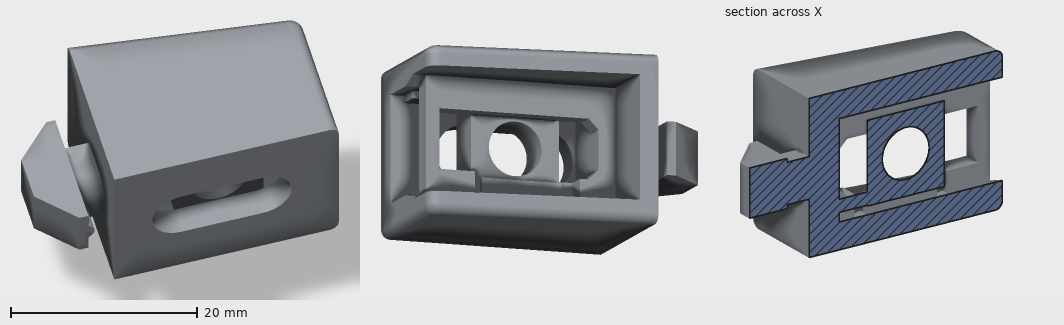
import cadquery as cq

width = 18.5
height = 18.5
overall_length = 32.7
body_length = 25.0
side_taper = 3.1
corner_radius = 1.5
edge_radius = 1.0

tray_height = 13.75
tray_front = 2.0
tray_back = 23.5
plate_face = 8.25
plate_back = 10.6

channel_height = 11.95
channel_front = 3.92
ledge_x = 12.7
ledge_height = 0.8
channel_floor = 15.5

window_height = 6.65
window_back = 22.0
window_chamfer = 1.1
recess_front = 6.02
recess_back = 18.0

slot_diameter = 6.5
slot_front_center = 7.5
slot_back_center = 16.5

slider_size = 10.0
slider_center = slot_front_center + slider_size / 2
slider_face = 10.75
slider_hole_diameter = 6.0
pad_face = 10.0
pad_length = 9.03
pad_top = -3.55
rail_bottom = -4.9
rail_face = 10.7

latch_x = 11.48
shank_width = 6.02
shank_height = 5.0
shank_radius = 2.5
shank_length = 2.75
shank_root = 0.98
head_width = 13.08
head_height = 5.9
head_straight = 1.0
head_tip_width = 5.0
detent_height = 0.7
detent_radius = 0.997


def box(x_range, y_range, z_range):
    """Axis-aligned block between the given limits."""
    size = [high - low for low, high in (x_range, y_range, z_range)]
    low_corner = (x_range[0], y_range[0], z_range[0])
    return cq.Workplane("XY").box(*size, centered=False).translate(low_corner)


def about_middle(size):
    return (-size / 2, size / 2)


def side_prism(points, x_range):
    """Outline of (y, z) points extruded along X."""
    start, end = x_range
    return cq.Workplane("YZ", origin=(start, 0, 0)).polyline(points).close().extrude(end - start)


def make_shell():
    outline = [(0, 0), (width, 0), (width, body_length), (side_taper, body_length)]
    shell = cq.Workplane("XY").polyline(outline).close().extrude(height).translate((0, 0, -height / 2))
    corner = cq.selectors.NearestToPointSelector((side_taper, body_length, 0))
    shell = shell.edges(corner).fillet(corner_radius)
    for z in about_middle(height):
        long_edge = cq.selectors.NearestToPointSelector((side_taper / 2, body_length / 2, z))
        shell = shell.edges(long_edge).fillet(edge_radius)
    return shell


def cut_tray(shell):
    tray = box((0, plate_face), (tray_front, body_length), about_middle(tray_height))
    half_tray = tray_height / 2
    half_channel = channel_height / 2
    exit_outline = [
        (plate_face, -half_tray),
        (plate_back, -half_channel),
        (plate_back, half_channel),
        (plate_face, half_tray),
    ]
    exit_length = body_length - tray_back
    back_exit = (
        cq.Workplane("XZ", origin=(0, body_length, 0)).polyline(exit_outline).close().extrude(exit_length)
    )
    return shell.cut(tray).cut(back_exit)


def cut_channel(shell):
    upper = box((plate_back, ledge_x), (channel_front, body_length), about_middle(channel_height))
    lower_height = channel_height - 2 * ledge_height
    lower = box((ledge_x, channel_floor), (channel_front, tray_back), about_middle(lower_height))
    back_end = box((ledge_x, channel_floor), (tray_back, body_length), about_middle(channel_height))
    return shell.cut(upper).cut(lower).cut(back_end)


def cut_window(shell):
    half = window_height / 2
    outline = [
        (window_back, -half),
        (window_back, half),
        (channel_front + window_chamfer, half),
        (channel_front, half - window_chamfer),
        (channel_front, window_chamfer - half),
        (channel_front + window_chamfer, -half),
    ]
    window = side_prism(outline, (plate_face, plate_back))
    recess = box((plate_face, plate_back), (recess_front, recess_back), (-channel_height / 2, 0))
    return shell.cut(window).cut(recess)


def cut_slot(shell):
    slot_travel = slot_back_center - slot_front_center
    slot_center = (slot_front_center + slot_back_center) / 2
    slot = (
        cq.Workplane("YZ", origin=(channel_floor, slot_center, 0))
        .slot2D(slot_travel + slot_diameter, slot_diameter)
        .extrude(width - channel_floor)
    )
    return shell.cut(slot)


def make_slider():
    front = slider_center - slider_size / 2
    back = slider_center + slider_size / 2
    block = box((slider_face, channel_floor), (front, back), about_middle(slider_size))
    pad = box((pad_face, slider_face), (front, front + pad_length), (-channel_height / 2, pad_top))
    rail_top = -window_height / 2
    rail = box((rail_face, channel_floor), (channel_front, front + pad_length), (rail_bottom, rail_top))
    hole = (
        cq.Workplane("YZ", origin=(slider_face, slider_center, 0))
        .circle(slider_hole_diameter / 2)
        .extrude(channel_floor - slider_face)
    )
    return block.union(pad).union(rail).cut(hole)


def make_latch():
    shank = box(
        (latch_x - shank_width / 2, latch_x + shank_width / 2),
        (-shank_length, shank_root),
        about_middle(shank_height),
    )
    for side in (-1, 1):
        corner = cq.selectors.NearestToPointSelector(
            (latch_x + side * shank_width / 2, (shank_root - shank_length) / 2, side * shank_height / 2)
        )
        shank = shank.edges(corner).fillet(shank_radius)

    tip_y = body_length - overall_length
    shoulder_y = -shank_length - head_straight
    head_outline = [
        (latch_x - head_width / 2, -shank_length),
        (latch_x + head_width / 2, -shank_length),
        (latch_x + head_width / 2, shoulder_y),
        (latch_x + head_tip_width / 2, tip_y),
        (latch_x - head_tip_width / 2, tip_y),
        (latch_x - head_width / 2, shoulder_y),
    ]
    head = cq.Workplane("XY").polyline(head_outline).close().extrude(head_height)
    return shank.union(head.translate((0, 0, -head_height / 2))).union(make_detent())


def make_detent():
    """Ridge behind the head: 45 degree flanks with a round crest."""
    crest_y = detent_height - shank_length
    half_crest = detent_radius / 2**0.5
    flank_y = crest_y - detent_radius + half_crest
    half_base = half_crest + flank_y + shank_length
    return (
        cq.Workplane("YZ", origin=(latch_x, 0, 0))
        .moveTo(-shank_length, -half_base)
        .lineTo(flank_y, -half_crest)
        .threePointArc((crest_y, 0), (flank_y, half_crest))
        .lineTo(-shank_length, half_base)
        .close()
        .extrude(head_width / 2)
    )


body = cut_slot(cut_window(cut_channel(cut_tray(make_shell()))))
result = body.union(make_slider()).union(make_latch())